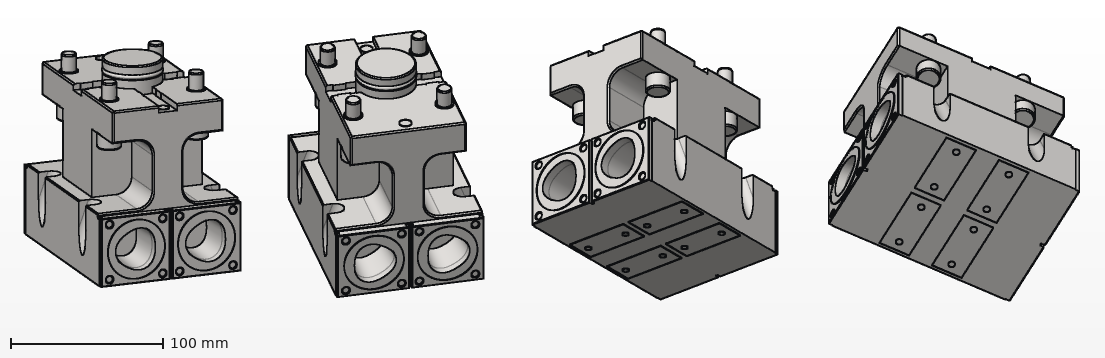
import cadquery as cq
import math

BASE_HALF_Y = 49.98
BASE_HALF_X = 64.2
BASE_BOTTOM_Z = 1.1
SHELF_Z = 48.0
BASE_TOP_Z = 49.9
BASE_TOP_CHAMFER = 0.7

BODY_HALF_X = 61.7
BODY_HALF_Y = 39.2
BODY_TOP_Z = 118.9
OVERHANG_Z = 96.7
WEB_HALF_Y = 10.9
WEB_FILLET = 11.0
BODY_CHAMFER = 1.1
COLUMN_WIDTH = 50.3

SLOT_DEPTH = 4.4
SLOT_FLOOR_Z = BODY_TOP_Z - SLOT_DEPTH
CROSS_SLOT_WIDTH = 13.9
CROSS_SLOT_NARROWING = 0.8
END_SLOT_WIDTH = 12.9
END_SLOT_NARROWING = 0.3
NARROW_START = 25.5
NARROW_LENGTH = 8.7

SPIGOT_DIAMETER = 39.8
SPIGOT_TOP_Z = 134.5
SPIGOT_CHAMFER = 1.0
RING_GROOVE_DIAMETER = 35.2
RING_GROOVE_BOTTOM_Z = 124.6
RING_GROOVE_TOP_Z = 128.4
RING_OUTER_DIAMETER = 40.5
RING_SECTION_RADIUS = 1.6
RING_Z = 126.2

SCREW_X = 35.0
SCREW_Y = 30.9
SCREW_DIAMETER = 9.9
SCREW_TOP_Z = 131.2
SCREW_TIP_INSET = 0.5
SCREW_TIP_HEIGHT = 1.1
SCREW_COLLAR_DIAMETER = 12.4
COLLAR_HEIGHT = 0.5
HEAD_DIAMETER = 16.0
HEAD_HEIGHT = 10.6
HEAD_CHAMFER = 1.0
DOWEL_X = 53.0
DOWEL_DIAMETER = 8.5
DOWEL_HEIGHT = 0.5

KEY_GROOVE_DIAMETER = 12.0
KEY_GROOVE_ANGLE = 20.0
KEY_GROOVE_LENGTH = 95.2
KEY_GROOVE_AXIS_Z = 84.3

PLATE_GAP = 1.6
PLATE_OUTER_X = 67.3
PLATE_INSET = 0.4
PLATE_CHAMFER = 0.5
SOCKET_Y = 24.9
SOCKET_Z = 24.6
COVER_DIAMETER = 40.5
COVER_OUTER_X = 68.0
SOCKET_MEAN_RADIUS = 14.1
SOCKET_LOBE = 0.8
SOCKET_CURVE_POINTS = 24
SOCKET_ENTRY_DEPTH = 6.4
SOCKET_DEPTH = 29.9
SOCKET_TAPER = 1.2
PLATE_SCREW_OFFSET = 18.9
PLATE_SCREW_DIAMETER = 5.7
PLATE_SCREW_FLOOR_DIAMETER = 4.5
PLATE_SCREW_RECESS = 0.5
RELIEF_WIDTH = 4.8
RELIEF_DEPTH = 1.1
RELIEF_LENGTH = 2.2

PAD_X = 19.5
PAD_WIDTH = 21.9
PAD_LENGTH = 45.4
PAD_BOTTOM_Z = 0.5
PAD_STUD_SPACING = 31.4
PAD_STUD_DIAMETER = 4.5


def block(x0, x1, y0, y1, z0, z1):
    """Box between two opposite corners."""
    return cq.Workplane("XY").box(x1 - x0, y1 - y0, z1 - z0, centered=False).translate((x0, y0, z0))


def upright(x, y, diameter, z0, z1):
    """Vertical cylinder."""
    return cq.Workplane("XY", origin=(x, y, z0)).circle(diameter / 2).extrude(z1 - z0)


def make_body():
    """Base and I-shaped upper body with its full-width column."""
    base = block(-BASE_HALF_X, BASE_HALF_X, -BASE_HALF_Y, BASE_HALF_Y, BASE_BOTTOM_Z, SHELF_Z)

    foot_z = SHELF_Z - 2 * BODY_CHAMFER
    bend = WEB_FILLET * (1 - math.sqrt(0.5))
    shoulder_y = WEB_HALF_Y + WEB_FILLET
    half = (
        cq.Workplane("YZ", origin=(-BODY_HALF_X, 0, 0))
        .moveTo(0, foot_z)
        .lineTo(BASE_HALF_Y, foot_z)
        .lineTo(BASE_HALF_Y, BASE_TOP_Z)
        .lineTo(shoulder_y, BASE_TOP_Z)
        .threePointArc((WEB_HALF_Y + bend, BASE_TOP_Z + bend), (WEB_HALF_Y, BASE_TOP_Z + WEB_FILLET))
        .lineTo(WEB_HALF_Y, OVERHANG_Z - WEB_FILLET)
        .threePointArc((WEB_HALF_Y + bend, OVERHANG_Z - bend), (shoulder_y, OVERHANG_Z))
        .lineTo(BODY_HALF_Y, OVERHANG_Z)
        .lineTo(BODY_HALF_Y, BODY_TOP_Z)
        .lineTo(0, BODY_TOP_Z)
        .close()
        .extrude(2 * BODY_HALF_X)
    )
    body = half.union(half.mirror("XZ")).clean()
    body = body.faces("<X or >X").chamfer(BODY_CHAMFER)

    column_x = COLUMN_WIDTH / 2
    column = block(-column_x, column_x, -BODY_HALF_Y, BODY_HALF_Y, foot_z, BODY_TOP_Z)
    body = body.union(column).union(base).clean()
    body = body.faces(">Z").edges("|X").chamfer(BODY_CHAMFER)
    for side in (-1, 1):
        body = body.edges(
            cq.selectors.NearestToPointSelector((0, side * BASE_HALF_Y, BASE_TOP_Z))
        ).chamfer(BASE_TOP_CHAMFER)
    return body


def slot(width, narrowing, length):
    """Slot from the center along +X, slightly narrower over a short stretch."""
    cutter = block(0, length, -width / 2, width / 2, SLOT_FLOOR_Z, BODY_TOP_Z)
    for side in (-1, 1):
        wall = side * width / 2
        inner = wall - side * narrowing
        cutter = cutter.cut(
            block(
                NARROW_START, NARROW_START + NARROW_LENGTH,
                min(wall, inner), max(wall, inner), SLOT_FLOOR_Z, BODY_TOP_Z,
            )
        )
    return cutter


def make_spigot():
    """Centering spigot with a groove holding an O-ring."""
    spigot = upright(0, 0, SPIGOT_DIAMETER, SLOT_FLOOR_Z, SPIGOT_TOP_Z).faces(">Z").chamfer(SPIGOT_CHAMFER)
    groove = upright(0, 0, SPIGOT_DIAMETER, RING_GROOVE_BOTTOM_Z, RING_GROOVE_TOP_Z).cut(
        upright(0, 0, RING_GROOVE_DIAMETER, RING_GROOVE_BOTTOM_Z, RING_GROOVE_TOP_Z)
    )
    ring_radius = RING_OUTER_DIAMETER / 2 - RING_SECTION_RADIUS
    ring = (
        cq.Workplane("XZ")
        .center(ring_radius, RING_Z)
        .circle(RING_SECTION_RADIUS)
        .revolve(360, (-ring_radius, 0), (-ring_radius, 1))
    )
    return spigot.cut(groove).union(ring)


def make_screw(x, y):
    """Clamping screw: head under the overhang, collar and threaded end above the body."""
    head = upright(x, y, HEAD_DIAMETER, OVERHANG_Z - HEAD_HEIGHT, OVERHANG_Z)
    head = head.faces("<Z").chamfer(HEAD_CHAMFER)
    shank = upright(x, y, SCREW_DIAMETER, OVERHANG_Z, SCREW_TOP_Z)
    shank = shank.faces(">Z").edges().chamfer(SCREW_TIP_HEIGHT, SCREW_TIP_INSET)
    collar = upright(x, y, SCREW_COLLAR_DIAMETER, OVERHANG_Z, BODY_TOP_Z + COLLAR_HEIGHT)
    return head.union(shank).union(collar)


def key_groove(x, side):
    """Round-bottomed groove running outward and down from a screw head, open to the side."""
    bore = upright(0, 0, KEY_GROOVE_DIAMETER, -KEY_GROOVE_LENGTH, 0)
    opening = block(
        -KEY_GROOVE_DIAMETER / 2, KEY_GROOVE_DIAMETER / 2, 0, BASE_HALF_Y, -KEY_GROOVE_LENGTH, 0
    )
    groove = bore.union(opening).rotate((0, 0, 0), (1, 0, 0), KEY_GROOVE_ANGLE)
    groove = groove.translate((x, SCREW_Y, KEY_GROOVE_AXIS_Z))
    below_top = block(-BASE_HALF_X, BASE_HALF_X, 0, 2 * BASE_HALF_Y, BASE_BOTTOM_Z, BASE_TOP_Z)
    groove = groove.intersect(below_top)
    return groove if side > 0 else groove.mirror("XZ")


def lobed_wire(x, y, mean_radius):
    """Smooth three-lobed outline in a plane of constant X, one lobe toward -Y."""
    points = []
    for i in range(SOCKET_CURVE_POINTS):
        angle = 2 * math.pi * i / SOCKET_CURVE_POINTS
        radius = mean_radius - SOCKET_LOBE * math.cos(3 * angle)
        points.append((radius * math.cos(angle), radius * math.sin(angle)))
    return cq.Workplane("YZ", origin=(x, y, SOCKET_Z)).spline(points, periodic=True).wire().val()


def socket(y):
    """Straight entry followed by a slightly tapered bore, on the -X end."""
    throat_x = SOCKET_ENTRY_DEPTH - COVER_OUTER_X
    floor_x = SOCKET_DEPTH - COVER_OUTER_X
    sections = [
        lobed_wire(-COVER_OUTER_X, y, SOCKET_MEAN_RADIUS),
        lobed_wire(throat_x, y, SOCKET_MEAN_RADIUS),
        lobed_wire(floor_x, y, SOCKET_MEAN_RADIUS - SOCKET_TAPER),
    ]
    return cq.Workplane(cq.Solid.makeLoft(sections, True))


def make_end_plate(y):
    """End plate with round cover and screw recesses, on the -X end."""
    inner_y = math.copysign(PLATE_GAP / 2, y)
    outer_y = math.copysign(BASE_HALF_Y - PLATE_INSET, y)
    plate = block(
        -PLATE_OUTER_X, -BASE_HALF_X,
        min(inner_y, outer_y), max(inner_y, outer_y), BASE_BOTTOM_Z, SHELF_Z,
    )
    plate = plate.faces("<X").chamfer(PLATE_CHAMFER)
    cover = (
        cq.Workplane("YZ", origin=(-COVER_OUTER_X, y, SOCKET_Z))
        .circle(COVER_DIAMETER / 2)
        .extrude(COVER_OUTER_X - BASE_HALF_X)
    )
    end = plate.union(cover)
    recess = cq.Workplane(
        cq.Solid.makeCone(
            PLATE_SCREW_DIAMETER / 2, PLATE_SCREW_FLOOR_DIAMETER / 2, PLATE_SCREW_RECESS,
            cq.Vector(-PLATE_OUTER_X, y, SOCKET_Z), cq.Vector(1, 0, 0),
        )
    )
    for dy in (-PLATE_SCREW_OFFSET, PLATE_SCREW_OFFSET):
        for dz in (-PLATE_SCREW_OFFSET, PLATE_SCREW_OFFSET):
            end = end.cut(recess.translate((0, dy, dz)))
    return end


def both_ends(shape):
    """A feature of the -X end together with its mirror image."""
    return shape.add(shape.mirror("YZ")).combine()


def relief(y):
    """Small pocket in the end shelf, centered at a plate boundary."""
    return block(
        -BASE_HALF_X, RELIEF_LENGTH - BASE_HALF_X,
        y - RELIEF_WIDTH / 2, y + RELIEF_WIDTH / 2, SHELF_Z - RELIEF_DEPTH, SHELF_Z,
    )


def make_pad(x, y):
    """Bottom cover pad with two studs."""
    pad = block(
        x - PAD_WIDTH / 2, x + PAD_WIDTH / 2,
        y - PAD_LENGTH / 2, y + PAD_LENGTH / 2, PAD_BOTTOM_Z, BASE_BOTTOM_Z,
    )
    for side in (-1, 1):
        pad = pad.union(upright(x, y + side * PAD_STUD_SPACING / 2, PAD_STUD_DIAMETER, 0, BASE_BOTTOM_Z))
    return pad


result = make_body()

result = result.cut(slot(END_SLOT_WIDTH, END_SLOT_NARROWING, BODY_HALF_X))
cross_slot = slot(CROSS_SLOT_WIDTH, CROSS_SLOT_NARROWING, BODY_HALF_Y)
for angle in (90, -90):
    result = result.cut(cross_slot.rotate((0, 0, 0), (0, 0, 1), angle))
result = result.union(make_spigot())

for x in (-SCREW_X, SCREW_X):
    for side in (-1, 1):
        result = result.cut(key_groove(x, side))
        result = result.union(make_screw(x, side * SCREW_Y))

for x, seat_z in ((-DOWEL_X, BODY_TOP_Z), (DOWEL_X, SLOT_FLOOR_Z)):
    result = result.union(upright(x, 0, DOWEL_DIAMETER, seat_z, seat_z + DOWEL_HEIGHT))

for y in (-BASE_HALF_Y, 0, BASE_HALF_Y):
    result = result.cut(both_ends(relief(y)))
for y in (-SOCKET_Y, SOCKET_Y):
    result = result.union(both_ends(make_end_plate(y)))
    result = result.cut(both_ends(socket(y)))

for x in (-PAD_X, PAD_X):
    for y in (-SOCKET_Y, SOCKET_Y):
        result = result.union(make_pad(x, y))